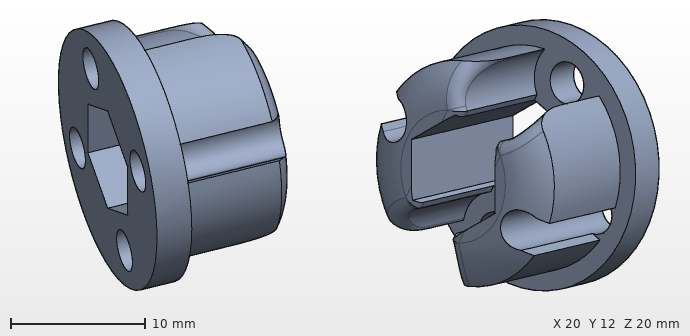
import cadquery as cq
import math

flange_diameter = 20
flange_thickness = 2.78
total_length = 12

boss_radius = 8.52
dome_radius = 5

hex_across_flats = 8

hole_diameter = 3.2
hole_pitch_radius = 7
hole_count = 4
first_hole_angle = 29.2

slot_width = 3

pocket_radius = 3.12
pocket_arc_overrun = 20
throat_width = 3.8
rim_fillet = 1

cut_margin = 0.2
tolerance = 0.002


def extrude_along_y(sketch_start, length):
    """Extrude an XZ sketch towards +Y."""
    return sketch_start.extrude(-length)


def plane_at(y):
    """Workplane parallel to XZ at the given Y, with local axes X and Z."""
    return cq.Workplane("XZ", origin=(0, y, 0))


def turn(body, angle):
    """Turn a body from the +X direction towards +Z."""
    return body.rotate((0, 0, 0), (0, 1, 0), -angle)


def make_domed_blank():
    """Flange-wide cylinder with a quarter-round dome, trimmed to the boss radius later."""
    start = plane_at(0).circle(flange_diameter / 2)
    return extrude_along_y(start, total_length).faces(">Y").edges().fillet(dome_radius)


def trim_to_boss(body):
    return body.intersect(extrude_along_y(plane_at(0).circle(boss_radius), total_length))


def make_hole():
    start = plane_at(-cut_margin).center(hole_pitch_radius, 0).circle(hole_diameter / 2)
    return extrude_along_y(start, total_length + 2 * cut_margin)


def make_slot():
    length = boss_radius + cut_margin - hole_pitch_radius
    start = plane_at(flange_thickness).center(hole_pitch_radius + length / 2, 0).rect(length, slot_width)
    return extrude_along_y(start, total_length)


def make_pocket():
    """Pocket with a round wall that runs on along its tangents towards the outside."""
    sweep = math.radians(pocket_arc_overrun)
    arc_end_x = hole_pitch_radius + pocket_radius * math.sin(sweep)
    arc_end_z = pocket_radius * math.cos(sweep)
    mouth_x = flange_diameter / 2 + cut_margin
    mouth_z = arc_end_z - (mouth_x - arc_end_x) * math.tan(sweep)
    start = (
        plane_at(flange_thickness)
        .moveTo(mouth_x, mouth_z)
        .lineTo(arc_end_x, arc_end_z)
        .threePointArc((hole_pitch_radius - pocket_radius, 0), (arc_end_x, -arc_end_z))
        .lineTo(mouth_x, -mouth_z)
        .close()
    )
    return extrude_along_y(start, total_length)


def make_throat():
    """Straight passage with a flared top, joining the two pockets along X."""
    half_width = throat_width / 2
    flare_start = total_length - rim_fillet
    flared_half_width = half_width + rim_fillet
    bend_offset = rim_fillet * (1 - math.sqrt(0.5))
    bend_width = half_width + bend_offset
    bend_height = total_length - bend_offset
    return (
        cq.Workplane("YZ")
        .moveTo(flange_thickness, -half_width)
        .lineTo(flare_start, -half_width)
        .threePointArc((bend_height, -bend_width), (total_length, -flared_half_width))
        .lineTo(total_length + cut_margin, -flared_half_width)
        .lineTo(total_length + cut_margin, flared_half_width)
        .lineTo(total_length, flared_half_width)
        .threePointArc((bend_height, bend_width), (flare_start, half_width))
        .lineTo(flange_thickness, half_width)
        .close()
        .extrude(hole_pitch_radius, both=True)
    )


def make_bore():
    corner_diameter = hex_across_flats / math.cos(math.pi / 6)
    start = plane_at(-cut_margin).transformed(rotate=(0, 0, 90)).polygon(6, corner_diameter)
    return extrude_along_y(start, total_length + 2 * cut_margin)


def cut_rounded_pocket(body):
    """Cut the +X pocket and fillet its edges on the end face and the dome."""
    body = body.cut(make_pocket())
    rim = []
    for edge in body.edges().vals():
        middle = edge.positionAt(0.5)
        in_pocket = middle.x > 0 and abs(middle.z) < pocket_radius + tolerance
        if in_pocket and middle.y > total_length - dome_radius + tolerance:
            rim.append(edge)
    return body.newObject(rim).fillet(rim_fillet)


hole_angles = [first_hole_angle + i * 360 / hole_count for i in range(hole_count)]
slot_angles = hole_angles[0::2]
pocket_angle = hole_angles[1]

body = make_domed_blank()
for _ in range(2):
    body = turn(cut_rounded_pocket(body), 180)
body = trim_to_boss(body).cut(make_throat())
body = turn(body, pocket_angle)
for angle in slot_angles:
    body = body.cut(turn(make_slot(), angle))

flange = extrude_along_y(plane_at(0).circle(flange_diameter / 2), flange_thickness)
body = body.union(flange)
for angle in hole_angles:
    body = body.cut(turn(make_hole(), angle))

result = body.cut(make_bore())